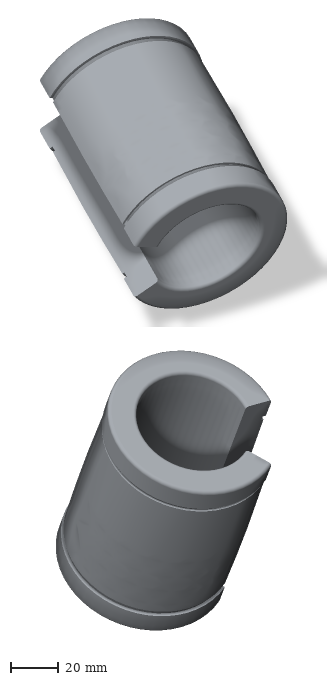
import cadquery as cq
import math

length = 100.0
outer_radius = 37.5
bore_radius = 25.0
edge_radius = 1.5

slot_angle = 53.5

collar_width = 11.3
groove_width = 2.5
groove_depth = 1.5
crown_drop = 0.5

half_length = length / 2
groove_outer_x = half_length - collar_width
groove_inner_x = groove_outer_x - groove_width
groove_radius = outer_radius - groove_depth
band_end_radius = outer_radius - crown_drop


def ring(inner_radius, ring_outer_radius, start_x, width):
    """Ring around the X axis."""
    return (
        cq.Workplane("YZ", origin=(start_x, 0, 0))
        .circle(ring_outer_radius)
        .circle(inner_radius)
        .extrude(width)
    )


def make_sleeve():
    """Plain tube with all four end edges rounded."""
    tube = ring(bore_radius, outer_radius, -half_length, length)
    return tube.faces("<X or >X").edges().fillet(edge_radius)


def make_crown_cut():
    """Material outside the shallow arc of the band between the grooves."""
    clear_radius = outer_radius + edge_radius
    return (
        cq.Workplane("XY")
        .moveTo(-groove_inner_x, band_end_radius)
        .threePointArc((0, outer_radius), (groove_inner_x, band_end_radius))
        .lineTo(groove_inner_x, clear_radius)
        .lineTo(-groove_inner_x, clear_radius)
        .close()
        .revolve(360, (0, 0, 0), (1, 0, 0))
    )


def make_slot():
    """Wedge with its tip on the axis, reaching past the outer surface."""
    reach = 2 * outer_radius
    half_opening = reach * math.tan(math.radians(slot_angle / 2))
    return (
        cq.Workplane("YZ", origin=(-half_length, 0, 0))
        .polyline([(0, 0), (-reach, half_opening), (-reach, -half_opening)])
        .close()
        .extrude(length)
    )


result = make_sleeve().cut(make_crown_cut())
for groove_start in (-groove_outer_x, groove_inner_x):
    result = result.cut(ring(groove_radius, 2 * outer_radius, groove_start, groove_width))
result = result.cut(make_slot())